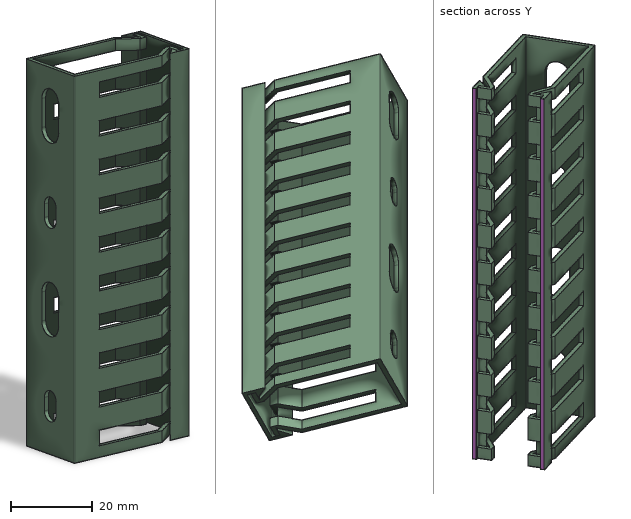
import cadquery as cq

width = 19.0
depth = 36.5
length = 100.0

side_wall = 1.2
base_wall = 1.2
base_edge_radius = 0.2

cover_wall = 1.0
cover_corner_radius = 0.3
lip_reach = 2.9
ledge_drop = 3.2
skirt_drop = 6.1

hook_thickness = 1.2
hook_reach = 4.7
hook_root = 3.8
hook_face_drop = 4.0
outer_bend_drop = 8.6
inner_bend_drop = 9.0

finger_slot_count = 10
finger_slot_pitch = length / finger_slot_count
finger_slot_width = 4.0
finger_root = 8.0

mount_slot_count = 4
mount_slot_pitch = length / mount_slot_count
large_slot_length = 14.0
large_slot_width = 6.5
small_slot_length = 8.0
small_slot_width = 4.5
upright = 90

half_width = width / 2
ledge_y = depth - ledge_drop


def mirrored_outline(right_half):
    """Close a right-half outline with its mirror image across X = 0."""
    left_half = [(-x, y) for x, y in reversed(right_half)]
    return right_half + left_half


def extrude_profile(points):
    return cq.Workplane("XY").polyline(points).close().extrude(length)


def finger_slots():
    """Cutters across both sides, open at the hooked edge."""
    slots = cq.Workplane("XY")
    for index in range(finger_slot_count):
        slots = slots.union(
            cq.Workplane("XY")
            .box(width, depth - finger_root, finger_slot_width, centered=(True, False, True))
            .translate((0, finger_root, (index + 0.5) * finger_slot_pitch))
        )
    return slots


def mount_slot(slot_length, slot_width, z):
    """Upright round-ended cutter through the base."""
    return (
        cq.Workplane("XZ")
        .center(0, z)
        .slot2D(slot_length, slot_width, upright)
        .extrude(-base_wall)
    )


def make_duct():
    hook_top_y = ledge_y + hook_thickness
    right_half = [
        (half_width, 0),
        (half_width, depth - outer_bend_drop),
        (half_width - hook_root, ledge_y),
        (half_width - cover_wall, ledge_y),
        (half_width - cover_wall, hook_top_y),
        (half_width - hook_reach, hook_top_y),
        (half_width - hook_reach, depth - hook_face_drop),
        (half_width - side_wall, depth - inner_bend_drop),
        (half_width - side_wall, base_wall),
    ]
    duct = extrude_profile(mirrored_outline(right_half))
    duct = duct.faces("<Y").edges("|Z").fillet(base_edge_radius)
    duct = duct.cut(finger_slots())
    for index in range(mount_slot_count):
        z = (index + 0.5) * mount_slot_pitch
        if index % 2 == 0:
            duct = duct.cut(mount_slot(small_slot_length, small_slot_width, z))
        else:
            duct = duct.cut(mount_slot(large_slot_length, large_slot_width, z))
    return duct


def make_cover():
    right_half = [
        (half_width, depth),
        (half_width, depth - skirt_drop),
        (half_width - lip_reach, ledge_y),
        (half_width - cover_wall, ledge_y),
        (half_width - cover_wall, depth - cover_wall),
    ]
    cover = extrude_profile(mirrored_outline(right_half))
    inner_corners = cq.selectors.BoxSelector(
        (-half_width, depth - cover_wall - cover_corner_radius, 0),
        (half_width, depth - cover_wall + cover_corner_radius, length),
    )
    return cover.edges("|Z").edges(inner_corners).fillet(cover_corner_radius)


duct = make_duct()
cover = make_cover()

result = cq.Compound.makeCompound([duct.val(), cover.val()])